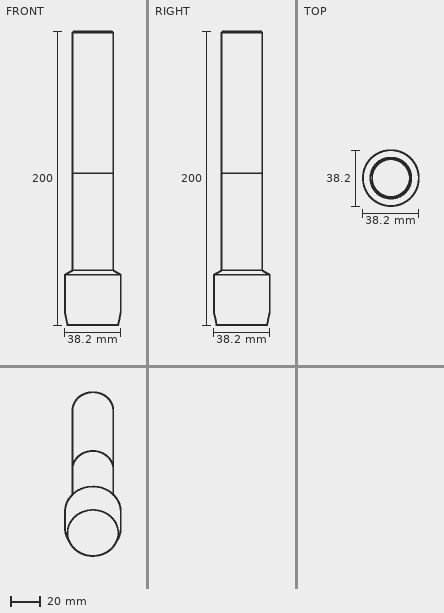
import cadquery as cq

total_height = 200.0
nose_height = 8.5
head_top = 34.2
shoulder_top = 37.2
shank_top = 103.2

head_diameter = 38.2
nose_diameter = 34.5
shank_diameter = 27.8
rod_diameter = 28.0

tip_chamfer = 1.2


def make_plunger():
    """Turned head with a tapered nose, a conical shoulder and a plain shank."""
    head_radius = head_diameter / 2
    shank_radius = shank_diameter / 2
    return (
        cq.Workplane("XZ")
        .lineTo(nose_diameter / 2, 0)
        .lineTo(head_radius, nose_height)
        .lineTo(head_radius, head_top)
        .lineTo(shank_radius, shoulder_top)
        .lineTo(shank_radius, shank_top)
        .lineTo(0, shank_top)
        .close()
        .revolve(360, (0, 0, 0), (0, 1, 0))
    )


def make_rod():
    """Upper rod, a little thicker than the shank it stands on, with a chamfered tip."""
    return (
        cq.Workplane("XY", origin=(0, 0, shank_top))
        .circle(rod_diameter / 2)
        .extrude(total_height - shank_top)
        .faces(">Z")
        .chamfer(tip_chamfer)
    )


plunger = make_plunger()
rod = make_rod()

result = cq.Compound.makeCompound([plunger.val(), rod.val()])